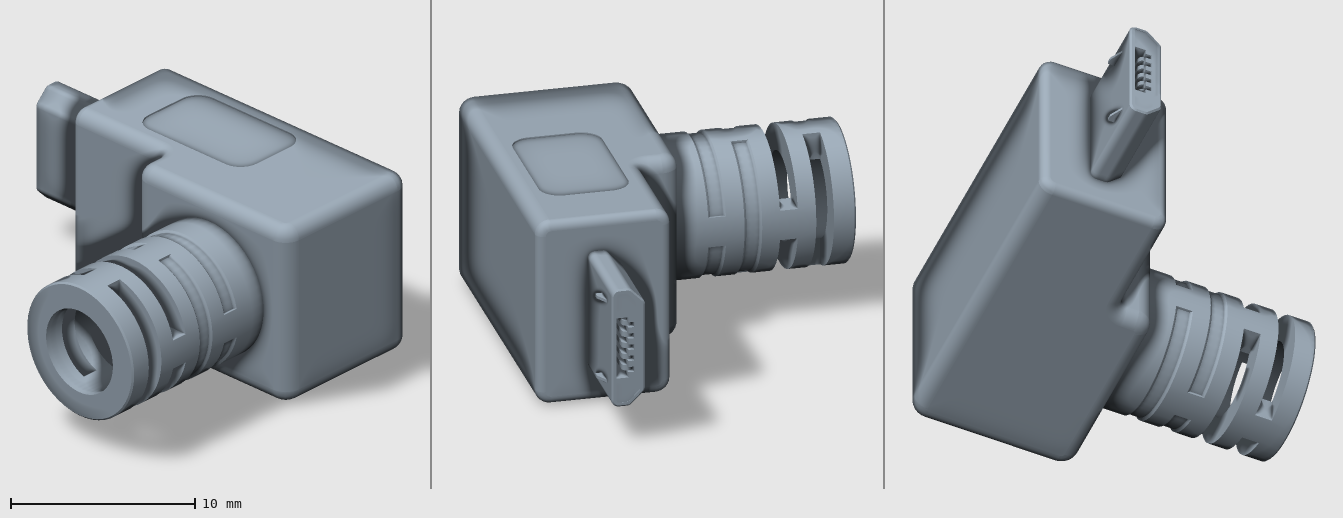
import cadquery as cq


total_length = 23.6
total_depth = 20.0
body_height = 10.79

body_left = 5.4
body_depth = 9.72
arm_depth = 7.5
step_x = 12.2
outer_corner_radius = 1.0
inner_corner_radius = 0.5
rim_radius = 0.8
plug_face_radius = 0.5

label_length = 8.07
label_width = 5.0
label_center_x = 12.89
label_center_y = -3.75
label_corner_radius = 1.18
label_depth = 0.1

plug_back = -2.83
plug_thickness = 1.86
plug_height = 6.95
plug_bevel = 0.85
plug_edge_radius = 0.4
plug_embed = 0.24
tip_chamfer = 0.1
shell_wall = 0.25
insulator_setback = 0.02

mouth_height = 3.56
mouth_width = 0.65
mouth_depth = 3.55
contact_count = 5
contact_pitch = 0.65
contact_height = 0.3
contact_width = 0.6
contact_projection = 0.25
contact_setback = 0.28
contact_nose_radius = 0.28

hook_start = 1.09
hook_crest = 1.82
hook_end = 2.12
hook_rise = 0.4
hook_thickness = 0.17
hook_offset = 2.35

relief_diameter = 8.0
bore_diameter = 5.0
relief_center_x = 17.9
relief_chamfer = 0.1
slot_width = 1.0
slot_pitch = 2.0
last_slot_inset = 1.75
rib_width = 1.75
groove_depth = 0.15
groove_flare = 0.15

relief_length = total_depth - body_depth
relief_radius = relief_diameter / 2
cutter_radius = relief_diameter


def make_body():
    """L-shaped block with rounded corners and rounded rims."""
    block = (
        cq.Workplane("XY", origin=(0, 0, -body_height / 2))
        .moveTo(body_left, 0)
        .lineTo(total_length, 0)
        .lineTo(total_length, -body_depth)
        .lineTo(step_x, -body_depth)
        .lineTo(step_x, -arm_depth)
        .lineTo(body_left, -arm_depth)
        .close()
        .extrude(body_height)
    )
    outer_corners = [(total_length, 0), (total_length, -body_depth), (step_x, -body_depth)]
    for x, y in outer_corners:
        block = block.edges(cq.NearestToPointSelector((x, y, 0))).fillet(outer_corner_radius)
    block = block.edges(cq.NearestToPointSelector((step_x, -arm_depth, 0))).fillet(inner_corner_radius)
    rims = block.faces("<Z or >Z").edges().edges("not <X")
    block = rims.fillet(rim_radius)
    return block.faces("<X").edges().fillet(plug_face_radius)


def make_label_recess():
    """Shallow rounded rectangle cut into the top face."""
    return (
        cq.Workplane("XY", origin=(label_center_x, label_center_y, body_height / 2 - label_depth))
        .rect(label_length, label_width)
        .extrude(label_depth)
        .edges("|Z")
        .fillet(label_corner_radius)
    )


def plug_section(length):
    """Plug cross-section swept along X from the tip, bevelled along its two front edges."""
    front = plug_back - plug_thickness
    half_height = plug_height / 2
    return (
        cq.Workplane("YZ")
        .moveTo(plug_back, -half_height)
        .lineTo(plug_back, half_height)
        .lineTo(front + plug_bevel, half_height)
        .lineTo(front, half_height - plug_bevel)
        .lineTo(front, plug_bevel - half_height)
        .lineTo(front + plug_bevel, -half_height)
        .close()
        .extrude(length)
        .edges("|X")
        .fillet(plug_edge_radius)
    )


def make_insulator_setback():
    """Thin cut that leaves the shell rim standing proud of the insulator face."""
    tip_outline = plug_section(insulator_setback).faces("<X").wires().toPending()
    return tip_outline.offset2D(-shell_wall).extrude(insulator_setback, combine=False)


def make_hook(z):
    """Ramped latch hook standing on the back face of the plug."""
    root_y = plug_back - shell_wall
    return (
        cq.Workplane("XY", origin=(0, 0, z - hook_thickness / 2))
        .moveTo(hook_start, root_y)
        .lineTo(hook_start, plug_back)
        .lineTo(hook_crest, plug_back + hook_rise)
        .lineTo(hook_end, plug_back + hook_rise)
        .lineTo(hook_end, root_y)
        .close()
        .extrude(hook_thickness)
    )


def contact_block(z, start_x):
    """Block filling one contact position from start_x to the mouth floor."""
    contact_back = plug_back - shell_wall - mouth_width + contact_projection
    return cq.Workplane("XY").box(
        mouth_depth - start_x, contact_width, contact_height, centered=(False, False, True)
    ).translate((start_x, contact_back - contact_width, z))


def make_plug():
    """Plug shell with its mouth, contacts and latch hooks."""
    plug = plug_section(body_left + plug_embed)
    plug = plug.faces("<X").edges().chamfer(tip_chamfer)
    plug = plug.cut(make_insulator_setback())
    mouth = cq.Workplane("XY").box(
        mouth_depth, mouth_width, mouth_height, centered=(False, False, True)
    ).translate((0, plug_back - shell_wall - mouth_width, 0))
    plug = plug.cut(mouth)
    for index in range(contact_count):
        z = (index - (contact_count - 1) / 2) * contact_pitch
        plug = plug.cut(contact_block(z, 0))
        contact = contact_block(z, contact_setback).faces("<X").edges("|Z").fillet(contact_nose_radius)
        plug = plug.union(contact)
    for z in (-hook_offset, hook_offset):
        plug = plug.union(make_hook(z))
    return plug


def relief_cylinder(radius, start_y, length):
    """Cylinder on the strain relief axis, running from start_y toward -Y."""
    return cq.Workplane("XZ", origin=(relief_center_x, start_y, 0)).circle(radius).extrude(length)


def rib_block(center_y, along_x):
    """Bar across the axis that keeps the two ribs of a slot or groove."""
    span = 2 * cutter_radius
    size_x, size_z = (span, rib_width) if along_x else (rib_width, span)
    return cq.Workplane("XY").box(size_x, span, size_z).translate((relief_center_x, center_y, 0))


def make_slot(center_y):
    """Disc that cuts right through the wall of the strain relief."""
    return relief_cylinder(cutter_radius, center_y + slot_width / 2, slot_width)


def make_groove(center_y):
    """Shallow ring cut whose side walls flare outward."""
    half_floor = slot_width / 2 - groove_flare
    floor_radius = relief_radius - groove_depth
    half_mouth = slot_width / 2
    return (
        cq.Workplane("XY", origin=(relief_center_x, center_y, 0))
        .moveTo(floor_radius, -half_floor)
        .lineTo(relief_radius, -half_mouth)
        .lineTo(cutter_radius, -half_mouth)
        .lineTo(cutter_radius, half_mouth)
        .lineTo(relief_radius, half_mouth)
        .lineTo(floor_radius, half_floor)
        .close()
        .revolve(360, (0, 0, 0), (0, 1, 0))
    )


def make_relief():
    """Bored sleeve with two shallow grooves and two through slots, ribs turned in alternation."""
    relief = relief_cylinder(relief_radius, -body_depth, relief_length)
    relief = relief.faces("<Y").edges().chamfer(relief_chamfer)
    relief = relief.cut(relief_cylinder(bore_diameter / 2, -body_depth, relief_length))
    cutters = [make_slot, make_slot, make_groove, make_groove]
    for index, cutter in enumerate(cutters):
        center_y = last_slot_inset - total_depth + index * slot_pitch
        ribs_along_x = index % 2 == 1
        relief = relief.cut(cutter(center_y).cut(rib_block(center_y, ribs_along_x)))
    return relief


body = make_body().cut(make_label_recess())
result = body.union(make_plug()).union(make_relief())